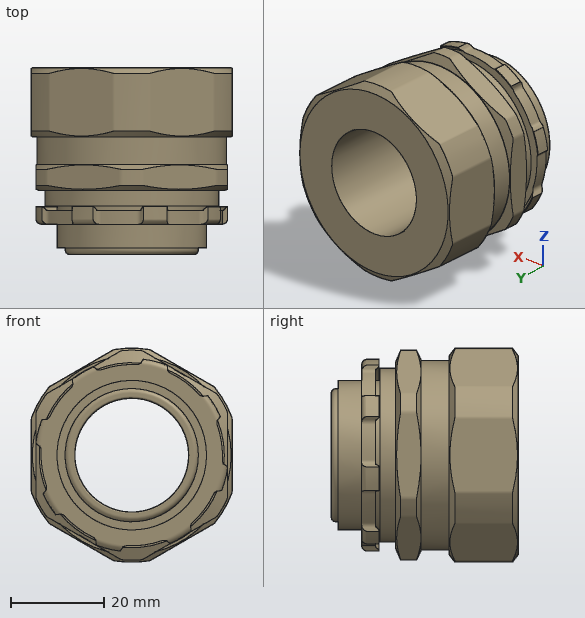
import cadquery as cq
import math

tip_end = 1.45
locknut_front = 6.5
locknut_back = 9.45
tooth_back = 10.25
shoulder_front = 10.4
body_hex_front = 13.7
body_hex_back = 19.25
gland_nut_front = 25.2
total_length = 40.0

bore_diameter = 24.3
tip_diameter = 28.5
thread_diameter = 32.0
shoulder_diameter = 37.2
collar_diameter = 40.6
tip_round = 1.0
bore_round = 0.4

gland_flats = 43.0
gland_diameter = 45.85
gland_face_diameter = 42.55
gland_chamfer_length = 1.25
gland_edge_round = 1.5

body_flats = 41.0
body_diameter = 44.92
body_front_face_diameter = 39.6
body_back_face_diameter = 40.8
body_front_chamfer_length = 1.15
body_back_chamfer_length = 1.0
body_edge_round = 1.85

locknut_diameter = 38.8
tooth_diameter = 41.35
tooth_count = 8
first_tooth_angle = 30.8
tooth_tip_width = 5.23
tooth_flank_angle = 22.0
tooth_bend_length = 1.0
tooth_bend_round = 1.35
tooth_root_round = 1.2
tooth_tip_thickness = 0.2


def cylinder(diameter, start, end):
    """Solid cylinder on the Y axis between two positions."""
    return cq.Workplane("XZ", origin=(0, start, 0)).circle(diameter / 2).extrude(start - end)


def revolve_about_axis(outline):
    """Turn a closed (radius, position) outline around the Y axis."""
    return outline.close().revolve(360, (0, 0, 0), (0, 1, 0))


def hex_nut(start, end, flats, diameter, edge_round, front_face, front_chamfer, back_face, back_chamfer):
    """Hexagon with flats facing +/-X, turned-off corners and conical chamfers on both faces."""
    corner_diameter = flats / math.cos(math.pi / 6)
    hexagon = (
        cq.Workplane("XZ", origin=(0, start, 0))
        .polygon(6, corner_diameter)
        .extrude(start - end)
        .rotate((0, 0, 0), (0, 1, 0), 30)
    )
    prism = hexagon.intersect(cylinder(diameter, start, end)).edges("|Y").fillet(edge_round)
    chamfer_envelope = revolve_about_axis(
        cq.Workplane("XY")
        .moveTo(0, start)
        .lineTo(front_face / 2, start)
        .lineTo(diameter / 2, start + front_chamfer)
        .lineTo(diameter / 2, end - back_chamfer)
        .lineTo(back_face / 2, end)
        .lineTo(0, end)
    )
    return prism.intersect(chamfer_envelope)


def make_locknut():
    """Locknut disc whose rim teeth are bent back and blend into the rim with concave roots."""
    blank = cylinder(locknut_diameter, locknut_front, tooth_back)
    rim_radius = locknut_diameter / 2
    tooth_radius = tooth_diameter / 2

    tooth_base = thread_diameter / 2
    tip_half = tooth_tip_width / 2
    tip_corner = math.sqrt(tooth_radius**2 - tip_half**2)
    base_half = tip_half + (tip_corner - tooth_base) * math.tan(math.radians(tooth_flank_angle))
    tooth = (
        cq.Workplane("XZ", origin=(0, locknut_front, 0))
        .moveTo(tooth_base, -base_half)
        .lineTo(tip_corner, -tip_half)
        .threePointArc((tooth_radius, 0), (tip_corner, tip_half))
        .lineTo(tooth_base, base_half)
        .close()
        .extrude(locknut_front - tooth_back)
    )
    for i in range(tooth_count):
        angle = first_tooth_angle + i * 360 / tooth_count
        blank = blank.union(tooth.rotate((0, 0, 0), (0, 1, 0), -angle))
    root_edges = [
        edge
        for edge in blank.edges("|Y").vals()
        if math.hypot(edge.Center().x, edge.Center().z) < (rim_radius + tooth_radius) / 2
    ]
    blank = blank.newObject(root_edges).fillet(tooth_root_round)

    tip_inner_radius = tooth_radius - tooth_tip_thickness
    undercut_radius = tip_inner_radius - (tooth_back - locknut_back)
    envelope = revolve_about_axis(
        cq.Workplane("XY")
        .moveTo(0, locknut_front)
        .lineTo(rim_radius, locknut_front)
        .radiusArc((tooth_radius, locknut_front + tooth_bend_length), -tooth_bend_round)
        .lineTo(tooth_radius, tooth_back)
        .lineTo(tip_inner_radius, tooth_back)
        .lineTo(undercut_radius, locknut_back)
        .lineTo(0, locknut_back)
    )
    return blank.intersect(envelope)


body = cylinder(tip_diameter, 0, tip_end).faces("<Y").edges().fillet(tip_round)
body = body.union(cylinder(thread_diameter, tip_end, shoulder_front))
body = body.union(cylinder(shoulder_diameter, shoulder_front, body_hex_front))
body = body.union(cylinder(collar_diameter, body_hex_back, gland_nut_front))

body_hex = hex_nut(
    body_hex_front,
    body_hex_back,
    body_flats,
    body_diameter,
    body_edge_round,
    body_front_face_diameter,
    body_front_chamfer_length,
    body_back_face_diameter,
    body_back_chamfer_length,
)
gland_nut = hex_nut(
    gland_nut_front,
    total_length,
    gland_flats,
    gland_diameter,
    gland_edge_round,
    gland_face_diameter,
    gland_chamfer_length,
    gland_face_diameter,
    gland_chamfer_length,
)
body = body.union(body_hex).union(gland_nut).union(make_locknut())

body = body.cut(cylinder(bore_diameter, 0, total_length))
result = body.faces("<Y").edges(cq.selectors.RadiusNthSelector(0)).fillet(bore_round)